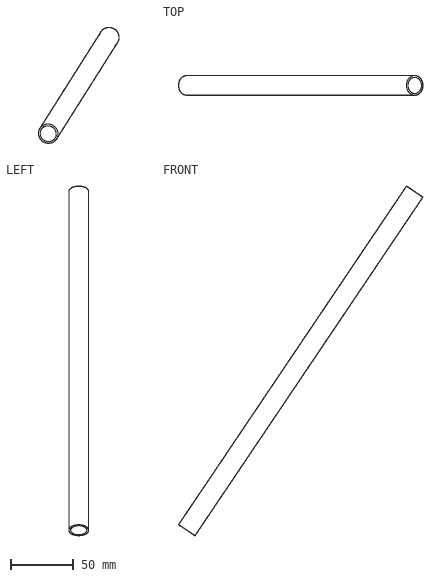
import cadquery as cq

outer_diameter = 16.0
wall_thickness = 1.5
tube_length = 325.5
lean_angle = 33.95

inner_diameter = outer_diameter - 2 * wall_thickness

upright_tube = (
    cq.Workplane("XY", origin=(0, 0, -tube_length / 2))
    .circle(outer_diameter / 2)
    .circle(inner_diameter / 2)
    .extrude(tube_length)
)

result = upright_tube.rotate((0, 0, 0), (0, 1, 0), lean_angle)